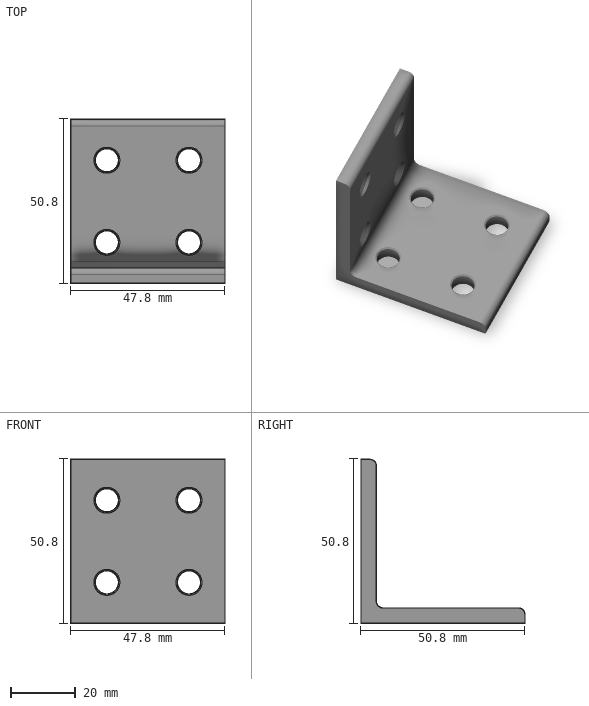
import cadquery as cq

width = 47.75
leg = 50.8
thickness = 4.85
tip_radius = 2.05
root_radius = 2.05

hole_diameter = 7.1
rim_diameter = 8.05
hole_spacing = 25.4
rim_chamfer = (rim_diameter - hole_diameter) / 2


def angle_profile():
    """L section in the YZ plane with its outer corner at the origin."""
    return (
        cq.Workplane("YZ")
        .polyline([
            (0, 0),
            (leg, 0),
            (leg, thickness),
            (thickness, thickness),
            (thickness, leg),
            (0, leg),
        ])
        .close()
        .extrude(width / 2, both=True)
    )


def edges_along_x(y, z):
    """Selector for the lengthwise edge passing through (y, z)."""
    return cq.selectors.NearestToPointSelector((0, y, z))


def hole_cutter():
    """Through hole along Z with a chamfered rim at both faces of a leg."""
    bore = cq.Workplane("XY").circle(hole_diameter / 2).extrude(thickness)
    lower_rim = cq.Solid.makeCone(rim_diameter / 2, hole_diameter / 2, rim_chamfer)
    upper_rim = lower_rim.mirror("XY").translate(cq.Vector(0, 0, thickness))
    return bore.union(cq.Workplane(lower_rim)).union(cq.Workplane(upper_rim))


bracket = angle_profile()
bracket = bracket.edges(edges_along_x(leg, thickness)).fillet(tip_radius)
bracket = bracket.edges(edges_along_x(thickness, leg)).fillet(tip_radius)
bracket = bracket.edges(edges_along_x(thickness, thickness)).fillet(root_radius)

flat_cutter = hole_cutter()
upright_cutter = flat_cutter.rotate((0, 0, 0), (1, 0, 0), -90)

for x in (-hole_spacing / 2, hole_spacing / 2):
    for along_leg in ((leg - hole_spacing) / 2, (leg + hole_spacing) / 2):
        bracket = bracket.cut(flat_cutter.translate((x, along_leg, 0)))
        bracket = bracket.cut(upright_cutter.translate((x, 0, along_leg)))

result = bracket